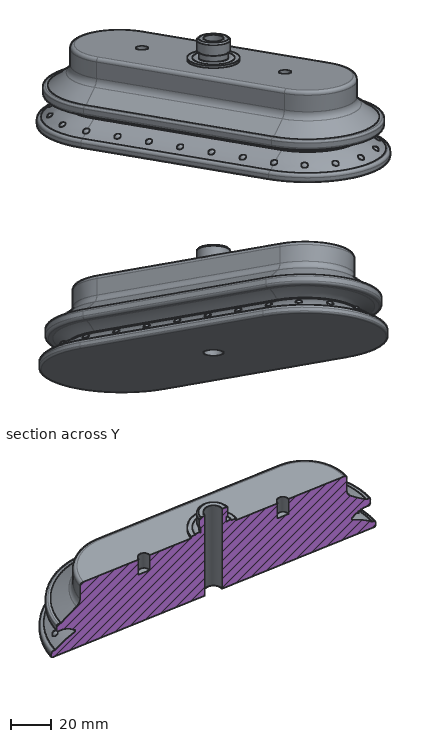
import cadquery as cq
import math

overall_length = 187.0
overall_width = 82.0
overall_height = 53.5
rim_radius = overall_width / 2
straight_length = overall_length - overall_width

rim_height = 4.5
rim_bottom_fillet = 1.0
rim_top_fillet = 1.7

lip_foot_radius = 38.8
lip_mid_radius = 33.0
lip_mid_height = 8.5
neck_radius = 27.2
neck_bottom = 11.4
neck_top = 12.0

fold_underside_radius = 34.3
fold_mid_radius = 30.0
fold_mid_height = 14.1
bead_radius = 38.0
bead_bottom = 15.8
bead_top = 20.9
bead_bottom_fillet = 1.5
bead_top_fillet = 1.1

shoulder_foot_radius = 35.5
shoulder_corner_height = 29.1
shoulder_fillet = 5.0
block_radius = 24.5
block_top = 42.2
block_fillet = 2.0

bore_diameter = 10.0
thread_diameter = 16.66
shank_diameter = 14.8
flange_diameter = 26.0
seal_ring_diameter = 21.0
flange_top = 43.4
seal_ring_top = 44.1
thread_bottom = 47.1

blind_hole_diameter = 6.2
blind_hole_depth = 10.0
blind_hole_offset = 40.0

pip_radius = 2.0
pip_sink = 1.0
pip_ring_radius = 35.0
pip_surface_height = 7.2
pip_slope_degrees = 35.0
pip_straight_spaces = 6
pip_end_spaces = 7


def cup_half_section():
    """Half section of the cup, with distance from the middle plane along X and height along Y."""
    shoulder_run = shoulder_foot_radius - block_radius
    shoulder_drop = shoulder_corner_height - bead_top
    shoulder_angle = math.atan2(shoulder_drop, shoulder_run)
    shoulder_tangent = shoulder_fillet * math.tan((math.pi / 2 - shoulder_angle) / 2)
    fillet_foot = (
        block_radius + shoulder_tangent * math.cos(shoulder_angle),
        shoulder_corner_height - shoulder_tangent * math.sin(shoulder_angle),
    )
    return (
        cq.Workplane("XY")
        .lineTo(rim_radius - rim_bottom_fillet, 0)
        .tangentArcPoint((rim_radius, rim_bottom_fillet), relative=False)
        .lineTo(rim_radius, rim_height - rim_top_fillet)
        .tangentArcPoint((rim_radius - rim_top_fillet, rim_height), relative=False)
        .lineTo(lip_foot_radius, rim_height)
        .threePointArc((lip_mid_radius, lip_mid_height), (neck_radius, neck_bottom))
        .lineTo(neck_radius, neck_top)
        .threePointArc((fold_mid_radius, fold_mid_height), (fold_underside_radius, bead_bottom))
        .lineTo(bead_radius - bead_bottom_fillet, bead_bottom)
        .tangentArcPoint((bead_radius, bead_bottom + bead_bottom_fillet), relative=False)
        .lineTo(bead_radius, bead_top - bead_top_fillet)
        .tangentArcPoint((bead_radius - bead_top_fillet, bead_top), relative=False)
        .lineTo(shoulder_foot_radius, bead_top)
        .lineTo(*fillet_foot)
        .tangentArcPoint((block_radius, shoulder_corner_height + shoulder_tangent), relative=False)
        .lineTo(block_radius, block_top - block_fillet)
        .tangentArcPoint((block_radius - block_fillet, block_top), relative=False)
        .lineTo(0, block_top)
        .close()
    )


def upright(solid):
    """Turn a solid so that its Y axis becomes Z."""
    return solid.rotate((0, 0, 0), (1, 0, 0), 90)


def turned(solid, angle):
    """Turn a solid about the upright Z axis."""
    return solid.rotate((0, 0, 0), (0, 0, 1), angle)


def cup():
    """Straight middle in two halves, closed by a half-turned end on each side."""
    half_bar = turned(upright(cup_half_section().extrude(straight_length / 2, both=True)), 90)
    half_turn = turned(upright(cup_half_section().revolve(180, (0, 0, 0), (0, 1, 0))), 90)
    half_turn = half_turn.translate((-straight_length / 2, 0, 0))
    body = half_bar.union(turned(half_bar, 180))
    return body.union(half_turn).union(turned(half_turn, 180))


def pip_centers():
    """Ball centers, sunk below the lip along its normal and spaced around the oblong."""
    half_length = straight_length / 2
    slope = math.radians(pip_slope_degrees)
    radius = pip_ring_radius - pip_sink * math.sin(slope)
    height = pip_surface_height - pip_sink * math.cos(slope)
    centers = []
    for side in (-1, 1):
        for i in range(pip_straight_spaces + 1):
            x = -half_length + i * straight_length / pip_straight_spaces
            centers.append((x, side * radius, height))
        for i in range(1, pip_end_spaces):
            turn = math.pi * i / pip_end_spaces
            x = side * (half_length + radius * math.sin(turn))
            centers.append((x, radius * math.cos(turn), height))
    return centers


def pips():
    """Balls that stand out of the lip as shallow domes."""
    return cq.Workplane("XY").pushPoints(pip_centers()).sphere(pip_radius, combine=False)


def fitting():
    """Threaded spigot on a flange with a raised seal ring, turned about Z."""
    shank_radius = shank_diameter / 2
    thread_radius = thread_diameter / 2
    flange_radius = flange_diameter / 2
    seal_outer_radius = seal_ring_diameter / 2
    seal_mid_radius = (seal_outer_radius + shank_radius) / 2
    chamfer = thread_radius - shank_radius
    outline = (
        cq.Workplane("XY")
        .moveTo(0, block_top)
        .lineTo(flange_radius, block_top)
        .lineTo(flange_radius, flange_top)
        .lineTo(seal_outer_radius, flange_top)
        .threePointArc((seal_mid_radius, seal_ring_top), (shank_radius, flange_top))
        .lineTo(shank_radius, thread_bottom - chamfer / 2)
        .lineTo(thread_radius, thread_bottom)
        .lineTo(thread_radius, overall_height - chamfer)
        .lineTo(shank_radius, overall_height)
        .lineTo(0, overall_height)
        .close()
    )
    return upright(outline.revolve(360, (0, 0, 0), (0, 1, 0)))


def bore():
    """Air passage through the whole part."""
    return cq.Workplane("XY").circle(bore_diameter / 2).extrude(overall_height)


def blind_holes():
    """Pair of flat-bottomed holes, one on each side of the fitting."""
    return (
        cq.Workplane("XY", origin=(0, 0, block_top))
        .pushPoints([(-blind_hole_offset, 0), (blind_hole_offset, 0)])
        .circle(blind_hole_diameter / 2)
        .extrude(-blind_hole_depth)
    )


result = cup().union(pips()).union(fitting()).cut(bore()).cut(blind_holes())